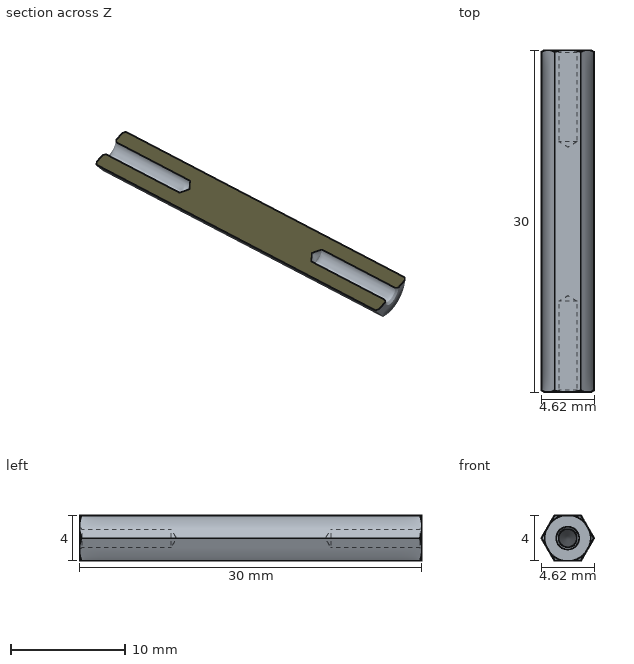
import cadquery as cq
import math

length = 30.0
hexagon_sides = 6
across_flats = 4.0
across_corners = across_flats / math.cos(math.pi / hexagon_sides)

chamfer_angle = 30.0
end_face_diameter = 4.03

hole_diameter = 1.6
mouth_diameter = 2.0
hole_depth = 8.0
drill_point_angle = 118.0


def revolve_about_y(profile):
    """Turn a closed (radius, y) profile once around the Y axis."""
    return cq.Workplane("XY").polyline(profile).close().revolve(axisStart=(0, 0), axisEnd=(0, 1))


def hexagon_bar():
    """Hexagonal bar from y = 0 to y = length, with two flats facing +Z and -Z."""
    return cq.Workplane("XZ").polygon(hexagon_sides, across_corners).extrude(-length)


def chamfer_envelope():
    """Round bar with coned ends; its overlap with the hexagon is the chamfered bar."""
    face_radius = end_face_diameter / 2
    outer_radius = across_corners
    cone_length = (outer_radius - face_radius) * math.tan(math.radians(chamfer_angle))
    return revolve_about_y([
        (0, 0),
        (face_radius, 0),
        (outer_radius, cone_length),
        (outer_radius, length - cone_length),
        (face_radius, length),
        (0, length),
    ])


def threaded_hole():
    """Cutter for the hole that opens at y = 0 and runs toward +Y."""
    hole_radius = hole_diameter / 2
    mouth_radius = mouth_diameter / 2
    countersink_depth = mouth_radius - hole_radius
    point_length = hole_radius / math.tan(math.radians(drill_point_angle / 2))
    return revolve_about_y([
        (0, 0),
        (mouth_radius, 0),
        (hole_radius, countersink_depth),
        (hole_radius, hole_depth),
        (0, hole_depth + point_length),
    ])


near_hole = threaded_hole()
far_hole = near_hole.mirror("XZ", (0, length / 2, 0))

result = hexagon_bar().intersect(chamfer_envelope()).cut(near_hole).cut(far_hole)